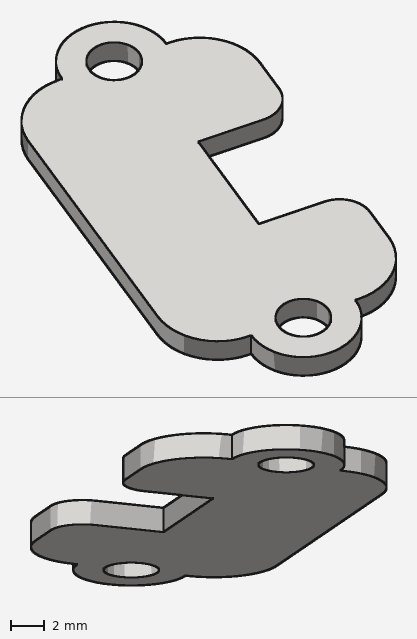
import cadquery as cq

length = 31.9
width = 15.3
thickness = 1.5
corner_radius = 4.0

ear_diameter = 6.9
hole_diameter = 3.3
hole_spacing = length - ear_diameter

notch_width = 8.0
notch_depth = 6.35
notch_mouth_radius = 2.0


def make_body():
    """Rounded plate whose short sides pass through the ear centres."""
    plate = cq.Workplane("XY").box(hole_spacing, width, thickness)
    return plate.edges("|Z").fillet(corner_radius)


def cut_notch(body):
    """Cut the square-bottomed notch and round the two corners at its mouth."""
    notch = (
        cq.Workplane("XY")
        .box(notch_width, notch_depth, thickness)
        .translate((0, (width - notch_depth) / 2, 0))
    )
    selection_margin = 0.32
    mouth_corners = cq.selectors.BoxSelector(
        (-notch_width, width / 2 - selection_margin, -thickness),
        (notch_width, width / 2 + selection_margin, thickness),
    )
    notched = body.cut(notch)
    return notched.edges("|Z").edges(mouth_corners).fillet(notch_mouth_radius)


def ear_cylinders(diameter):
    """Two full-thickness cylinders at the ear centres."""
    return (
        cq.Workplane("XY")
        .workplane(offset=-thickness / 2)
        .pushPoints([(-hole_spacing / 2, 0), (hole_spacing / 2, 0)])
        .circle(diameter / 2)
        .extrude(thickness)
    )


body = cut_notch(make_body())
result = body.union(ear_cylinders(ear_diameter)).cut(ear_cylinders(hole_diameter))